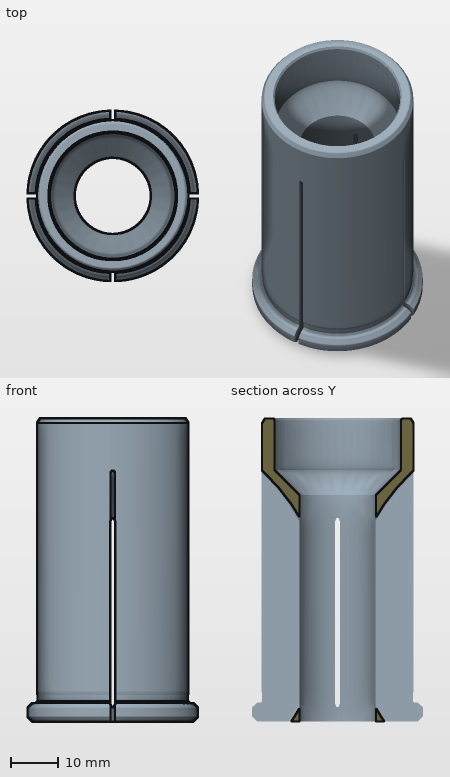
import cadquery as cq

height = 64.0
body_radius = 16.0
rim_chamfer = 0.65
rim_chamfer_height = 1.0

corner_radius = 0.4
match_tolerance = 0.005

collar_radius = 18.0
collar_chamfer = 1.0
collar_shoulder_z = 3.0
collar_top_z = 4.0
collar_top_radius = 16.95
groove_radius = 15.9
groove_bottom_z = 4.35
groove_top_z = 5.6
groove_end_z = 6.3

bore_radius = 8.0
socket_radius = 13.25
socket_floor_z = 53.0
seat_depth = socket_radius - bore_radius
mouth_chamfer = 0.3
mouth_chamfer_height = 0.5

slot_count = 4
slot_width = 1.0
disc_radius = 40.45
disc_axis_distance = 43.2
disc_center_z = 23.0


def make_body():
    """Revolve the sleeve wall, collar and stepped bore about Z."""
    groove_flare = groove_bottom_z - collar_top_z
    profile = [
        (bore_radius, 0),
        (collar_radius - collar_chamfer, 0),
        (collar_radius, collar_chamfer),
        (collar_radius, collar_shoulder_z),
        (collar_top_radius, collar_top_z),
        (groove_radius + groove_flare, collar_top_z),
        (groove_radius, groove_bottom_z),
        (groove_radius, groove_top_z),
        (body_radius, groove_end_z),
        (body_radius, height - rim_chamfer_height),
        (body_radius - rim_chamfer, height),
        (socket_radius + mouth_chamfer, height),
        (socket_radius, height - mouth_chamfer_height),
        (socket_radius, socket_floor_z),
        (bore_radius, socket_floor_z - seat_depth),
    ]
    return cq.Workplane("XZ").polyline(profile).close().revolve(360, (0, 0, 0), (0, 1, 0))


def round_corner(body, radius, z):
    """Round the circular edge of the given radius and height."""
    def is_corner(edge):
        return (
            edge.geomType() == "CIRCLE"
            and abs(edge.radius() - radius) < match_tolerance
            and abs(edge.Center().z - z) < match_tolerance
        )

    return body.newObject(body.edges().filter(is_corner).vals()).fillet(corner_radius)


def make_slot_disc():
    """Make a disc with a half-round edge, standing in the XZ plane on the +X side."""
    edge_radius = slot_width / 2
    flat_radius = disc_radius - edge_radius
    section = (
        cq.Workplane("XY")
        .moveTo(0, -edge_radius)
        .lineTo(flat_radius, -edge_radius)
        .threePointArc((disc_radius, 0), (flat_radius, edge_radius))
        .lineTo(0, edge_radius)
        .close()
    )
    disc = section.revolve(360, (0, 0, 0), (0, 1, 0))
    return disc.translate((disc_axis_distance, 0, disc_center_z))


rounded_corners = [
    (collar_radius, collar_chamfer),
    (collar_radius, collar_shoulder_z),
    (collar_top_radius, collar_top_z),
    (body_radius - rim_chamfer, height),
]

result = make_body()
for corner_r, corner_z in rounded_corners:
    result = round_corner(result, corner_r, corner_z)

slot_disc = make_slot_disc()
for index in range(slot_count):
    angle = index * 360 / slot_count
    result = result.cut(slot_disc.rotate((0, 0, 0), (0, 0, 1), angle))